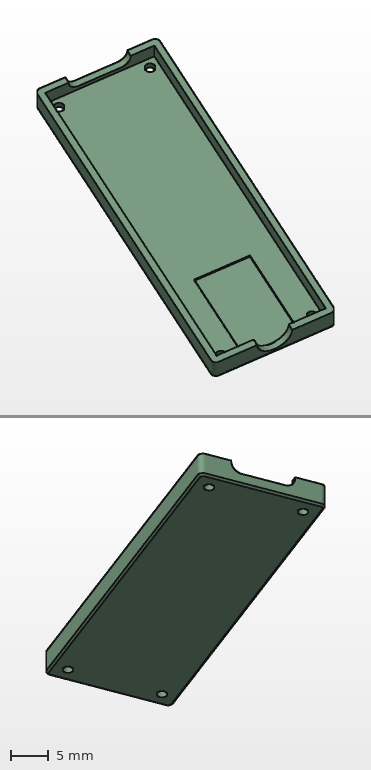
import cadquery as cq

length = 50.4
width = 18.4
height = 3.5
wall = 1.0
floor_thickness = 1.0
corner_radius = 0.75
bottom_chamfer = 0.3

hole_diameter = 1.4
hole_edge_distance = 2.35

pocket_length = 13.85
pocket_width = 8.35
pocket_depth = 0.3

wide_notch_width = 9.25
wide_notch_depth = 1.7
wide_notch_radius = 1.5

round_notch_radius = 2.6

inner_length = length - 2 * wall
inner_width = width - 2 * wall


def make_tray():
    """Open tray with rounded outer corners and a chamfered bottom edge."""
    body = (
        cq.Workplane("XY")
        .box(length, width, height, centered=(True, True, False))
        .edges("|Z")
        .fillet(corner_radius)
        .faces("<Z")
        .edges()
        .chamfer(bottom_chamfer)
    )
    cavity = (
        cq.Workplane("XY")
        .workplane(offset=floor_thickness)
        .rect(inner_length, inner_width)
        .extrude(height - floor_thickness)
    )
    return body.cut(cavity)


def make_screw_holes():
    """Four through holes, equally far from both outer sides at each corner."""
    return (
        cq.Workplane("XY")
        .rect(length - 2 * hole_edge_distance, width - 2 * hole_edge_distance, forConstruction=True)
        .vertices()
        .circle(hole_diameter / 2)
        .extrude(floor_thickness)
    )


def make_floor_pocket():
    return (
        cq.Workplane("XY")
        .workplane(offset=floor_thickness - pocket_depth)
        .center((inner_length - pocket_length) / 2, 0)
        .rect(pocket_length, pocket_width)
        .extrude(pocket_depth)
    )


def make_wide_notch():
    """Notch cutter whose block stands twice as tall as the notch, centred on the rim."""
    return (
        cq.Workplane("XY")
        .box(wall, wide_notch_width, 2 * wide_notch_depth)
        .edges("|X and <Z")
        .fillet(wide_notch_radius)
        .translate(((wall - length) / 2, 0, height))
    )


def make_round_notch():
    """Cylinder along X with its axis at rim height, spanning the +X wall."""
    return (
        cq.Workplane("YZ")
        .workplane(offset=inner_length / 2)
        .center(0, height)
        .circle(round_notch_radius)
        .extrude(wall)
    )


result = (
    make_tray()
    .cut(make_screw_holes())
    .cut(make_floor_pocket())
    .cut(make_wide_notch())
    .cut(make_round_notch())
)